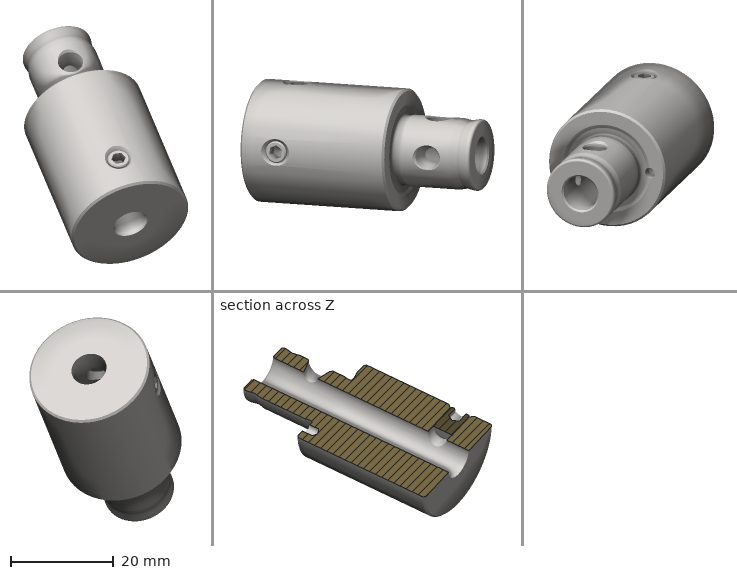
import cadquery as cq
import math

total_length = 46.0
collar_start = 15.95
collar_diameter = 24.0
collar_chamfer = 0.4

shank_diameter = 14.0
neck_diameter = 13.6
groove_diameter = 13.35
tip_fillet = 0.45
groove_start = 0.87
groove_half_width = 1.65
neck_taper_start = 14.45
neck_start = 15.25
root_fillet = 0.4

recess_outer_diameter = 17.85
recess_floor_diameter = 16.45
recess_depth = 0.28

bore_diameter = 7.0
bore_chamfer = 0.3

radial_angles = (0, -90)

clamp_x = 8.92
clamp_diameter = 4.88
clamp_lead_in = 0.7
clamp_inner_diameter = 3.05

face_hole_diameter = 2.1
face_hole_y = -8.9
face_hole_depth = 2.3
drill_point_angle = 118.0

screw_x = 38.65
screw_diameter = 4.3
screw_top = 11.7
screw_length = 6.45
screw_chamfer = 0.25
countersink_diameter = 5.85
socket_width = 2.5
socket_depth = 2.3
socket_turn = -8.0

collar_radius = collar_diameter / 2
shank_radius = shank_diameter / 2
neck_radius = neck_diameter / 2
bore_radius = bore_diameter / 2


def drill_point_height(radius):
    return radius / math.tan(math.radians(drill_point_angle / 2))


def cone_on_axis_z(x, lower_z, lower_radius, upper_z, upper_radius):
    """Truncated cone around a vertical axis at the given X."""
    height = upper_z - lower_z
    cone = cq.Solid.makeCone(lower_radius, upper_radius, height, cq.Vector(x, 0, lower_z))
    return cq.Workplane("XY").add(cone)


def cylinder_on_axis_z(x, lower_z, upper_z, radius):
    """Cylinder around a vertical axis at the given X."""
    return cq.Workplane("XY", origin=(x, 0, lower_z)).circle(radius).extrude(upper_z - lower_z)


def make_turned_body():
    """Shank and collar revolved around X, with the through bore."""
    groove_middle = groove_start + groove_half_width
    groove_end = groove_middle + groove_half_width
    recess_floor = collar_start + recess_depth
    arc_offset = math.sqrt(0.5)
    tip_arc_middle = (
        tip_fillet * (1 - arc_offset),
        shank_radius - tip_fillet * (1 - arc_offset),
    )
    root_arc_middle = (
        recess_floor - root_fillet * (1 - arc_offset),
        neck_radius + root_fillet * (1 - arc_offset),
    )
    profile = (
        cq.Workplane("XY")
        .moveTo(0, bore_radius + bore_chamfer)
        .lineTo(0, shank_radius - tip_fillet)
        .threePointArc(tip_arc_middle, (tip_fillet, shank_radius))
        .lineTo(groove_start, shank_radius)
        .lineTo(groove_middle, groove_diameter / 2)
        .lineTo(groove_end, shank_radius)
        .lineTo(neck_taper_start, shank_radius)
        .lineTo(neck_start, neck_radius)
        .lineTo(recess_floor - root_fillet, neck_radius)
        .threePointArc(root_arc_middle, (recess_floor, neck_radius + root_fillet))
        .lineTo(recess_floor, recess_floor_diameter / 2)
        .lineTo(collar_start, recess_outer_diameter / 2)
        .lineTo(collar_start, collar_radius - collar_chamfer)
        .lineTo(collar_start + collar_chamfer, collar_radius)
        .lineTo(total_length - collar_chamfer, collar_radius)
        .lineTo(total_length, collar_radius - collar_chamfer)
        .lineTo(total_length, bore_radius)
        .lineTo(bore_chamfer, bore_radius)
        .close()
    )
    return profile.revolve(360, (0, 0, 0), (1, 0, 0))


def make_clamp_hole():
    """Tapered hole down to the bore, with a 45 degree lead-in at its mouth."""
    radius = clamp_diameter / 2
    mouth_z = math.sqrt(shank_radius**2 - radius**2)
    inner_radius = clamp_inner_diameter / 2
    bore_edge_z = math.sqrt(bore_radius**2 - inner_radius**2)
    taper = cone_on_axis_z(clamp_x, bore_edge_z, inner_radius, mouth_z, radius)
    inner = cylinder_on_axis_z(clamp_x, 0, bore_edge_z, inner_radius)
    mouth = cone_on_axis_z(clamp_x, mouth_z, radius, mouth_z + clamp_lead_in, radius + clamp_lead_in)
    return taper.union(inner).union(mouth)


def make_face_hole():
    """Blind hole parallel to X with a drill point at its end."""
    radius = face_hole_diameter / 2
    hole_end = collar_start + face_hole_depth
    profile = (
        cq.Workplane("XY")
        .moveTo(collar_start, 0)
        .lineTo(collar_start, radius)
        .lineTo(hole_end, radius)
        .lineTo(hole_end + drill_point_height(radius), 0)
        .close()
    )
    return profile.revolve(360, (0, 0, 0), (1, 0, 0)).translate((0, face_hole_y, 0))


def make_screw_hole():
    """Radial hole from the bore to the outside with a 45 degree countersink."""
    radius = screw_diameter / 2
    sink_radius = countersink_diameter / 2
    sink_bottom = collar_radius - (sink_radius - radius)
    hole = cylinder_on_axis_z(screw_x, 0, sink_bottom, radius)
    countersink = cone_on_axis_z(screw_x, sink_bottom, radius, collar_radius, sink_radius)
    return hole.union(countersink)


def make_set_screw():
    """Headless screw with a chamfered top and a hexagon socket with a conical bottom."""
    screw = (
        cq.Workplane("XY")
        .circle(screw_diameter / 2)
        .extrude(-screw_length)
        .faces(">Z")
        .chamfer(screw_chamfer)
    )
    socket = (
        cq.Workplane("XY")
        .polygon(6, socket_width, circumscribed=True)
        .extrude(-socket_depth)
        .rotate((0, 0, 0), (0, 0, 1), socket_turn)
    )
    socket_radius = socket_width / 2
    point_z = -socket_depth - drill_point_height(socket_radius)
    point = cone_on_axis_z(0, point_z, 0, -socket_depth, socket_radius)
    return screw.cut(socket).cut(point).translate((screw_x, 0, screw_top))


def turned_about_x(body, angle):
    return body.rotate((0, 0, 0), (1, 0, 0), angle)


housing = make_turned_body().cut(make_face_hole())
set_screws = []
for angle in radial_angles:
    housing = housing.cut(turned_about_x(make_clamp_hole(), angle))
    housing = housing.cut(turned_about_x(make_screw_hole(), angle))
    set_screws.append(turned_about_x(make_set_screw(), angle).val())

result = cq.Compound.makeCompound([housing.val(), *set_screws])